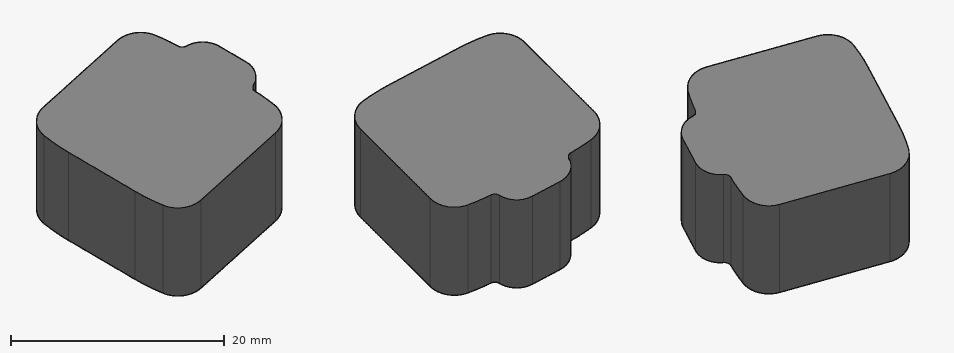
import cadquery as cq
import math

width = 19.0
length = 19.5
height = 12.0

body_length = 17.1
flat_half_width = 4.0
crown_radius = 20.0
corner_radius = 2.8

tab_radius = 2.5
tab_flat_width = 3.2
neck_radius = 0.66

half_width = width / 2
half_body_length = body_length / 2
body_center_y = (body_length - length) / 2
tab_center_y = length / 2 - tab_radius

crown_center_y = half_body_length - crown_radius
corner_center_x = half_width - corner_radius
center_distance = crown_radius - corner_radius
crown_angle = math.asin((corner_center_x - flat_half_width) / center_distance)
corner_center_y = crown_center_y + center_distance * math.cos(crown_angle)


def crown_point(angle):
    """Point on the right back crown arc, at an angle from +Y."""
    return (
        flat_half_width + crown_radius * math.sin(angle),
        crown_center_y + crown_radius * math.cos(angle),
    )


def corner_point(angle):
    """Point on the right back corner arc, at an angle from +Y."""
    return (
        corner_center_x + corner_radius * math.sin(angle),
        corner_center_y + corner_radius * math.cos(angle),
    )


def make_body():
    """Extrude a quarter of the body outline and mirror it to all four quadrants."""
    quarter = (
        cq.Workplane("XY")
        .moveTo(0, half_body_length)
        .lineTo(flat_half_width, half_body_length)
        .threePointArc(crown_point(crown_angle / 2), crown_point(crown_angle))
        .threePointArc(corner_point((crown_angle + math.pi / 2) / 2), corner_point(math.pi / 2))
        .lineTo(half_width, 0)
        .lineTo(0, 0)
        .close()
        .extrude(height)
    )
    half = quarter.union(quarter.mirror("YZ"))
    return half.union(half.mirror("XZ")).clean().translate((0, body_center_y, 0))


def make_tab():
    """Stadium-shaped prism whose front half is buried in the body."""
    return (
        cq.Workplane("XY")
        .center(0, tab_center_y)
        .slot2D(tab_flat_width + 2 * tab_radius, 2 * tab_radius)
        .extrude(height)
    )


def blend_necks(solid):
    """Round the two inside edges where the tab meets the body."""
    neck_x = tab_flat_width / 2 + tab_radius
    for side in (-1, 1):
        neck = cq.selectors.NearestToPointSelector((side * neck_x, tab_center_y, height / 2))
        solid = solid.edges("|Z").edges(neck).fillet(neck_radius)
    return solid


result = blend_necks(make_body().union(make_tab())).translate((0, 0, -height / 2))